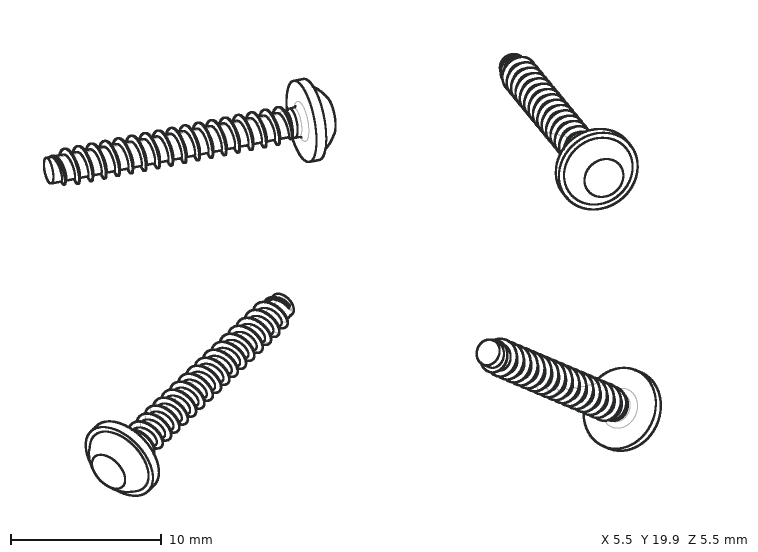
import cadquery as cq
import math

total_length = 19.9
head_height = 1.91
shank_length = total_length - head_height

flange_radius = 2.75
flange_thickness = 0.7
dome_base_radius = 2.39
dome_top_radius = 1.35
dome_bulge = 0.12

neck_radius = 1.0
neck_fillet = 0.35
neck_end = 0.65
neck_taper_end = 0.98

core_radius = 0.88
tip_dish_depth = 0.04

crest_radius = 1.23
crest_width = 0.05
root_width = 0.35

pitch = 0.95
turns = 18
thread_start = 0.64
start_fade_turns = 0.75
end_fade_turns = 1.0
end_width_share = 0.8
points_per_turn = 16

root_sink = 0.02
faded_sink = 0.01


def body_of_revolution():
    """Head, neck and core as one profile (Y, radius) turned about the Y axis."""
    chord_y = head_height - flange_thickness
    chord_r = dome_base_radius - dome_top_radius
    chord = math.hypot(chord_y, chord_r)
    dome_mid = (
        (head_height + flange_thickness) / 2 + dome_bulge * chord_r / chord,
        (dome_top_radius + dome_base_radius) / 2 + dome_bulge * chord_y / chord,
    )

    fillet_mid_offset = neck_fillet * (1 - math.sqrt(0.5))
    fillet_mid = (-fillet_mid_offset, neck_radius + fillet_mid_offset)

    dish_radius = (core_radius**2 + tip_dish_depth**2) / (2 * tip_dish_depth)
    dish_bottom_y = tip_dish_depth - shank_length
    dish_mid_r = core_radius / 2
    dish_mid_y = dish_bottom_y - dish_radius + math.sqrt(dish_radius**2 - dish_mid_r**2)

    profile = (
        cq.Workplane("YZ")
        .moveTo(head_height, 0)
        .lineTo(head_height, dome_top_radius)
        .threePointArc(dome_mid, (flange_thickness, dome_base_radius))
        .lineTo(flange_thickness, flange_radius)
        .lineTo(0, flange_radius)
        .lineTo(0, neck_radius + neck_fillet)
        .threePointArc(fillet_mid, (-neck_fillet, neck_radius))
        .lineTo(-neck_end, neck_radius)
        .lineTo(-neck_taper_end, core_radius)
        .lineTo(-shank_length, core_radius)
        .threePointArc((dish_mid_y, dish_mid_r), (dish_bottom_y, 0))
        .close()
    )
    return profile.revolve(360, (0, 0, 0), (1, 0, 0))


def fade(turn):
    """Share of the full thread height, rising and falling linearly at the thread ends."""
    return min(1.0, turn / start_fade_turns, (turns - turn) / end_fade_turns)


def helix_point(turn, full_radius, offset):
    """Point on the right-handed helix, shifted along Y by offset from the thread middle.

    Toward the thread ends the profile narrows and its crest sinks just below the core surface.
    """
    radius = full_radius
    if full_radius > core_radius:
        faded_radius = core_radius - faded_sink
        radius = faded_radius + (full_radius - faded_radius) * fade(turn)
    angle = math.pi + 2 * math.pi * turn
    width_share = end_width_share + (1 - end_width_share) * fade(turn)
    y = offset * width_share - thread_start - pitch * turn
    return cq.Vector(radius * math.cos(angle), y, radius * math.sin(angle))


def helix_edge(first_turn, last_turn, full_radius, offset):
    count = round((last_turn - first_turn) * points_per_turn)
    step = (last_turn - first_turn) / count
    points = [helix_point(first_turn + step * i, full_radius, offset) for i in range(count + 1)]
    return cq.Edge.makeSpline(points)


def end_cap(corners):
    return cq.Face.makeFromWires(cq.Wire.makePolygon(corners, close=True))


def thread():
    """Solid bounded by ruled faces between the helical edges of the thread profile."""
    flank_slope = (root_width - crest_width) / (crest_radius - core_radius)
    sunk_root_width = root_width + flank_slope * root_sink
    sunk_root_radius = core_radius - root_sink
    profile = [
        (sunk_root_radius, sunk_root_width / 2),
        (crest_radius, crest_width / 2),
        (crest_radius, -crest_width / 2),
        (sunk_root_radius, -sunk_root_width / 2),
    ]

    faces = []
    full_height_turns = turns - start_fade_turns - end_fade_turns
    sections = math.ceil(full_height_turns)
    section_ends = [start_fade_turns + full_height_turns * i / sections for i in range(sections + 1)]
    breaks = [0, *section_ends, turns]
    for first, last in zip(breaks, breaks[1:]):
        edges = [helix_edge(first, last, radius, offset) for radius, offset in profile]
        for i in range(len(edges)):
            faces.append(cq.Face.makeRuledSurface(edges[i - 1], edges[i]))
    for turn in (0, turns):
        faces.append(end_cap([helix_point(turn, radius, offset) for radius, offset in profile]))
    return cq.Solid.makeSolid(cq.Shell.makeShell(faces))


result = body_of_revolution().union(cq.Workplane(obj=thread()))